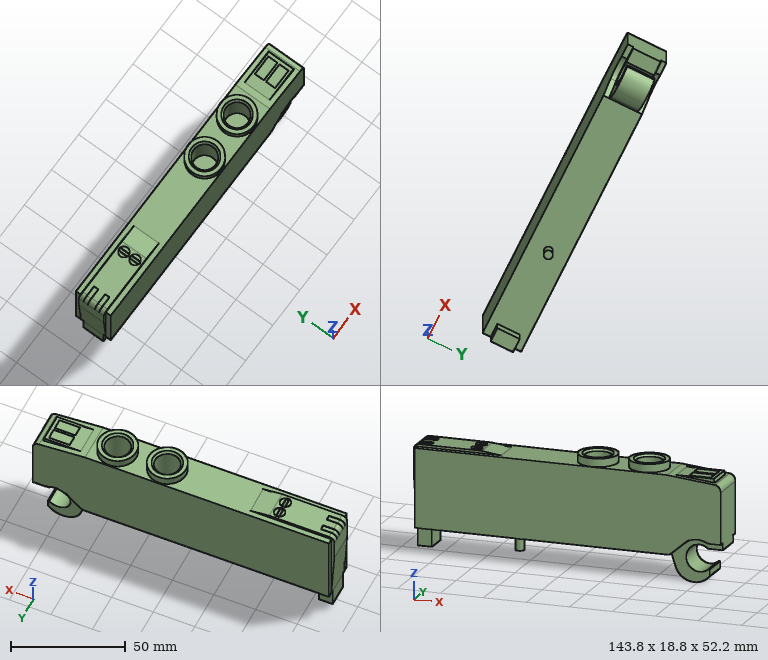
import cadquery as cq
import math


length = 143.8
width = 18.8
housing_start = 1.5
housing_height = 36.4
slope_start = 118.8
slope_drop = 2.5
end_round = 3.2

insert_width = 13.5
insert_top = 37.5
insert_flat_end = 31.5
insert_end = 40.5
insert_draft_start = 24.9
insert_round = 2.7
lane_pitch = 6.0
groove_length = 7.6
groove_width = 2.3
groove_depth = 0.3
screw_x = 28.0
screw_diameter = 5.0
screw_recess = 0.1
screw_slit_width = 1.5
screw_slit_depth = 0.7

port_positions = (83.4, 107.3)
port_diameter = 18.0
port_top = 40.1
bore_diameter = 11.8
bore_chamfer = 1.0
bore_depth = 17.3

plate_start = 122.1
plate_end = 139.6
plate_draft = 0.5
window_start = 127.8
window_end = 137.8
window_width = 4.9
window_depth = 0.1

hook_width = 13.5
hook_root = 120.0
hook_tip = 137.8
hook_center = (130.5, -2.9)
hook_radius = 9.2
rail_center = (133.0, -0.9)
rail_radius = 6.2
relief_radius = 9.2
throat_height = 9.3

foot_length = 6.6
foot_width = 11.0
foot_depth = 9.2
pin_x = 47.0
pin_diameter = 4.0
pin_depth = 7.9

overlap = 1.5


def slope_height(x):
    """Height of the sloping top at position x."""
    return housing_height - slope_drop * (x - slope_start) / (length - slope_start)


def tangent_point(point, center, radius, side):
    """Point where the tangent from an outside point touches a circle; side is +1 or -1."""
    dx = point[0] - center[0]
    dz = point[1] - center[1]
    angle = math.atan2(dz, dx) + side * math.acos(radius / math.hypot(dx, dz))
    return circle_point(center, radius, angle)


def circle_point(center, radius, angle):
    return (center[0] + radius * math.cos(angle), center[1] + radius * math.sin(angle))


def height_above_center(center, radius, x):
    """Vertical distance from the center of a circle to its outline at position x."""
    return math.sqrt(radius**2 - (x - center[0]) ** 2)


def extrude_across(outline, depth):
    """Extrude an XZ outline symmetrically about the mid-plane."""
    return outline.extrude(depth / 2, both=True)


def box_between(x_start, x_end, y_center, y_size, z_bottom, z_top):
    box = cq.Workplane("XY").box(x_end - x_start, y_size, z_top - z_bottom, centered=(False, True, False))
    return box.translate((x_start, y_center, z_bottom))


def cylinder(x, y, diameter, z_bottom, z_top):
    base = cq.Workplane("XY", origin=(x, y, z_bottom))
    return base.circle(diameter / 2).extrude(z_top - z_bottom)


def make_housing():
    root = (hook_root, 0)
    relief_start = tangent_point(root, rail_center, relief_radius, -1)
    relief_top = circle_point(rail_center, relief_radius, math.pi / 2)
    relief_end_z = rail_center[1] + height_above_center(rail_center, relief_radius, hook_tip)
    outline = (
        cq.Workplane("XZ")
        .moveTo(housing_start, 0)
        .lineTo(*root)
        .lineTo(*relief_start)
        .threePointArc(relief_top, (hook_tip, relief_end_z))
        .lineTo(length, relief_end_z)
        .lineTo(length, slope_height(length))
        .lineTo(slope_start, housing_height)
        .lineTo(housing_start, housing_height)
        .close()
    )
    top_corner = cq.NearestToPointSelector((length, 0, slope_height(length)))
    return extrude_across(outline, width).edges(top_corner).fillet(end_round)


def make_hook():
    root = (hook_root, 0)
    arc_start = tangent_point(root, hook_center, hook_radius, 1)
    arc_bottom = circle_point(hook_center, hook_radius, -math.pi / 2)
    tip_z = hook_center[1] - height_above_center(hook_center, hook_radius, hook_tip)
    throat_top = rail_center[1] + throat_height / 2
    web_top = rail_center[1] + relief_radius + overlap
    outline = (
        cq.Workplane("XZ")
        .moveTo(*root)
        .lineTo(*arc_start)
        .threePointArc(arc_bottom, (hook_tip, tip_z))
        .lineTo(hook_tip, throat_top)
        .lineTo(length, throat_top)
        .lineTo(length, web_top)
        .lineTo(hook_root, web_top)
        .close()
    )
    hook = extrude_across(outline, hook_width)
    rail_outline = cq.Workplane("XZ").center(*rail_center).circle(rail_radius)
    rail = extrude_across(rail_outline, hook_width)
    throat = box_between(rail_center[0], hook_tip, 0, hook_width, throat_top - throat_height, throat_top)
    return hook.cut(rail).cut(throat)


def insert_block(top, corner_round, block_end, block_width):
    """Front part of the insert with a rounded upper edge."""
    round_start = insert_top - insert_round
    inset = corner_round * (1 - math.sqrt(0.5))
    outline = (
        cq.Workplane("XZ")
        .moveTo(housing_start, 0)
        .lineTo(0, insert_draft_start)
        .lineTo(0, round_start)
        .threePointArc((inset, top - inset), (corner_round, top))
        .lineTo(block_end, top)
        .lineTo(block_end, 0)
        .close()
    )
    return extrude_across(outline, block_width)


def make_insert():
    insert = insert_block(insert_top, insert_round, insert_flat_end, insert_width)
    ramp_outline = cq.Workplane("XZ").polyline(
        [
            (insert_flat_end, insert_top),
            (insert_end, housing_height),
            (insert_end, housing_height - overlap),
            (insert_flat_end, housing_height - overlap),
        ]
    ).close()
    insert = insert.union(extrude_across(ramp_outline, insert_width))

    groove_floor = insert_block(
        insert_top - groove_depth, insert_round - groove_depth, groove_length, groove_width
    )
    for side in (-1, 1):
        y = side * lane_pitch / 2
        lane = box_between(0, groove_length, y, groove_width, 0, insert_top)
        insert = insert.cut(lane).union(groove_floor.translate((0, y, 0)))
    return insert


def screw_cut(y):
    """Shallow round recess with a deeper slit across it."""
    floor = insert_top - screw_recess
    recess = cylinder(screw_x, y, screw_diameter, floor, insert_top)
    slit_bottom = floor - screw_slit_depth
    slit_start = screw_x - screw_slit_width / 2
    slit = box_between(slit_start, slit_start + screw_slit_width, y, screw_diameter, slit_bottom, insert_top)
    return recess.union(slit.intersect(cylinder(screw_x, y, screw_diameter, slit_bottom, insert_top)))


def make_label_plate():
    plate_top = slope_height(plate_start)
    plate_bottom = slope_height(length) - overlap
    wall_foot = plate_end + plate_draft
    outline = cq.Workplane("XZ").polyline(
        [
            (plate_start, plate_top),
            (plate_end, plate_top),
            (wall_foot, slope_height(wall_foot)),
            (wall_foot, plate_bottom),
            (plate_start, plate_bottom),
        ]
    ).close()
    return extrude_across(outline, insert_width)


def window_cut(y):
    """Shallow rectangular recess in the label plate."""
    plate_top = slope_height(plate_start)
    return box_between(window_start, window_end, y, window_width, plate_top - window_depth, plate_top)


def port_bore(x):
    """Blind bore with a chamfered mouth."""
    bore = cylinder(x, 0, bore_diameter, port_top - bore_depth, port_top)
    mouth_radius = bore_diameter / 2 + bore_chamfer
    mouth = cq.Solid.makeCone(
        bore_diameter / 2, mouth_radius, bore_chamfer, pnt=cq.Vector(x, 0, port_top - bore_chamfer)
    )
    return bore.union(cq.Workplane(mouth))


foot = box_between(housing_start, housing_start + foot_length, 0, foot_width, -foot_depth, overlap)
pin = cylinder(pin_x, 0, pin_diameter, -pin_depth, overlap)

result = make_housing().union(make_hook()).union(make_insert()).union(make_label_plate())
result = result.union(foot).union(pin)

for port_x in port_positions:
    collar = cylinder(port_x, 0, port_diameter, housing_height - overlap, port_top)
    result = result.union(collar).cut(port_bore(port_x))

for lane_side in (-1, 1):
    lane_y = lane_side * lane_pitch / 2
    result = result.cut(screw_cut(lane_y)).cut(window_cut(lane_y))